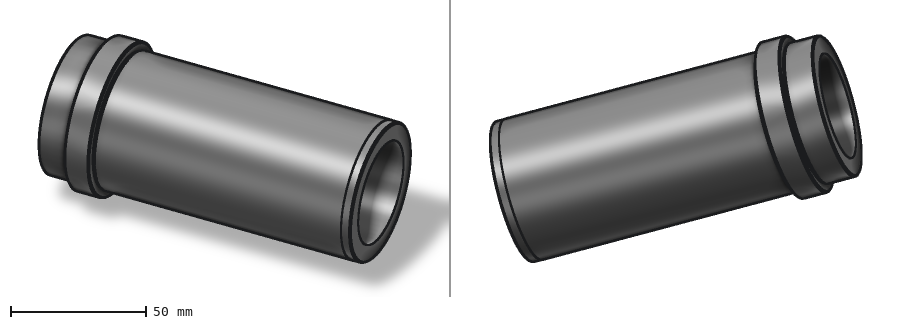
import cadquery as cq

length = 127.0
body_diameter = 54.0
collar_diameter = 60.0
bore_diameter = 40.0
collar_start = 12.0
collar_width = 10.0
front_relief_width = 0.8
rear_relief_width = 1.0
relief_depth = 0.5
edge_chamfer = 0.5
tip_length = 3.8
tip_diameter = 53.8

collar_end = collar_start + collar_width


def cylinder(diameter, start, end):
    """Solid cylinder along X between two axial positions."""
    return cq.Workplane("YZ", origin=(start, 0, 0)).circle(diameter / 2).extrude(end - start)


def relief_groove(start, end):
    """Ring that cuts a shallow groove into the body beside the collar."""
    return cylinder(collar_diameter, start, end).cut(
        cylinder(body_diameter - 2 * relief_depth, start, end)
    )


tip_start = length - tip_length
body = cylinder(body_diameter, 0, tip_start).faces("<X").chamfer(edge_chamfer)
tip = cylinder(tip_diameter, tip_start, length).faces(">X").chamfer(edge_chamfer)
sleeve = body.union(tip)

sleeve = sleeve.cut(relief_groove(collar_start - front_relief_width, collar_start))
sleeve = sleeve.cut(relief_groove(collar_end, collar_end + rear_relief_width))

collar = cylinder(collar_diameter, collar_start, collar_end).faces("<X or >X").chamfer(edge_chamfer)

bore = cylinder(bore_diameter, 0, length)

result = sleeve.union(collar).cut(bore)